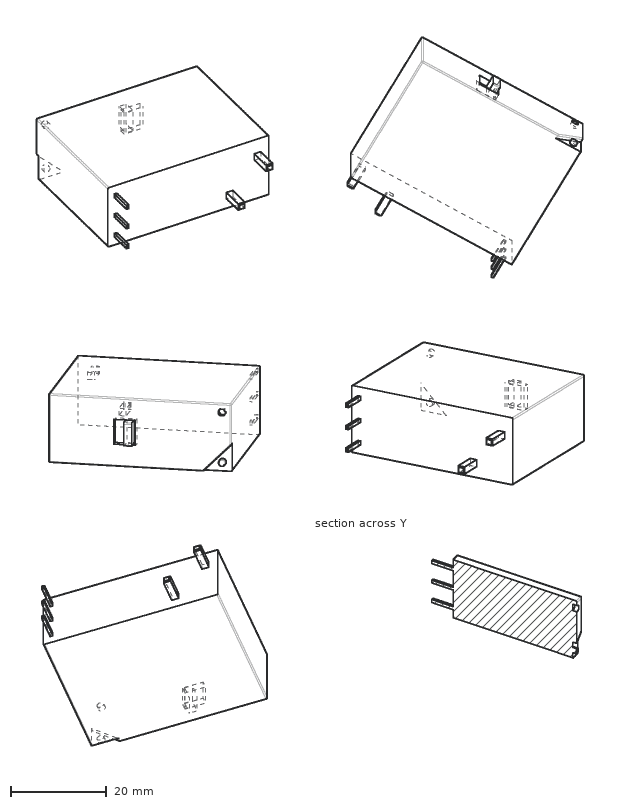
import cadquery as cq

length = 30.0
width = 39.0
height = 15.0
edge_radius = 0.3

recess_leg = 6.0
recess_depth = 1.0

indicator_diameter = 1.5
indicator_inset = 2.0
indicator_depth = 1.0
peg_length = 0.9
peg_edge_radius = 0.1

window_width = 4.6
window_height = 5.4
window_depth = 1.4
window_y = 3.3
lever_width = 1.7
lever_height = 5.1
lever_projection = 1.6
lever_edge_radius = 0.3
lever_y = 2.3

pin_length = 5.2
square_pin_side = 1.55
square_pin_chamfer = 0.25
square_pin_centres = [(16.7, 10.75), (9.95, 3.25)]
blade_thickness = 0.6
blade_chamfer = 0.15
blade_y = -17.65
blade_pitch = 5.0
outer_blade_height = 0.9
middle_blade_height = 0.8

front_y = -width / 2
mid_z = height / 2
indicator_y = front_y + indicator_inset


def box(x_start, x_size, y_centre, y_size, z_centre, z_size):
    """Box from x_start along +X, centred on the given Y and Z."""
    return (
        cq.Workplane("YZ", origin=(x_start, y_centre, z_centre))
        .rect(y_size, z_size)
        .extrude(x_size)
    )


def cylinder(x_start, x_size, y_centre, z_centre, diameter):
    """Cylinder from x_start along +X."""
    return (
        cq.Workplane("YZ", origin=(x_start, y_centre, z_centre))
        .circle(diameter / 2)
        .extrude(x_size)
    )


def make_housing():
    """Block with a triangular corner recess and rounded outer edges."""
    block = box(0, length, 0, width, mid_z, height)
    recess = (
        cq.Workplane("YZ")
        .moveTo(front_y, 0)
        .lineTo(front_y + recess_leg, 0)
        .lineTo(front_y, recess_leg)
        .close()
        .extrude(recess_depth)
    )
    housing = block.cut(recess)
    return housing.edges("|X or <X").fillet(edge_radius)


def make_peg():
    """Round peg standing on the floor of the corner recess."""
    peg = cylinder(recess_depth - peg_length, peg_length, indicator_y, indicator_inset, indicator_diameter)
    return peg.faces("<X").edges().fillet(peg_edge_radius)


def make_lever():
    """Switch lever rising from the window floor, rounded at its outer top and bottom edges."""
    lever = box(
        -lever_projection, lever_projection + window_depth, lever_y, lever_width, mid_z, lever_height
    )
    return lever.faces("<X").edges("|Y").fillet(lever_edge_radius)


def make_pin(y_centre, y_size, z_centre, z_size, tip_chamfer):
    """Rectangular pin on the +X end face with a chamfered tip."""
    pin = box(length, pin_length, y_centre, y_size, z_centre, z_size)
    return pin.faces(">X").chamfer(tip_chamfer)


indicator_hole = cylinder(
    0, indicator_depth, indicator_y, height - indicator_inset, indicator_diameter
)
window = box(0, window_depth, window_y, window_width, mid_z, window_height)

result = make_housing().cut(indicator_hole).cut(window)
result = result.union(make_peg()).union(make_lever())

for pin_y, pin_z in square_pin_centres:
    pin = make_pin(pin_y, square_pin_side, pin_z, square_pin_side, square_pin_chamfer)
    result = result.union(pin)

for step in (-1, 0, 1):
    blade_height = outer_blade_height if step else middle_blade_height
    blade_z = mid_z + step * blade_pitch
    blade = make_pin(blade_y, blade_thickness, blade_z, blade_height, blade_chamfer)
    result = result.union(blade)